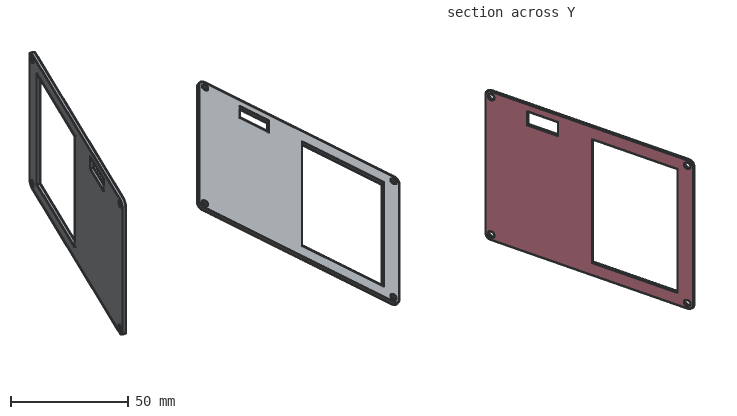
import cadquery as cq

plate_width = 103.0
plate_height = 78.5
plate_thickness = 1.6
corner_radius = 3.0

hole_diameter = 3.0
hole_inset = corner_radius

window_width = 42.0
window_height = 65.0
window_left = 8.0

slot_width = 15.0
slot_height = 7.0
slot_left = 67.1
slot_top_gap = 4.0


def through_box(width, height, center_x, center_z):
    """Rectangular block as deep as the plate, centred on its mid-plane."""
    return cq.Workplane("XY").box(width, plate_thickness, height).translate((center_x, 0, center_z))


plate = through_box(plate_width, plate_height, 0, 0).edges("|Y").fillet(corner_radius)

plate = (
    plate.faces("<Y")
    .workplane(centerOption="CenterOfBoundBox")
    .rect(plate_width - 2 * hole_inset, plate_height - 2 * hole_inset, forConstruction=True)
    .vertices()
    .hole(hole_diameter)
)

window_x = -plate_width / 2 + window_left + window_width / 2
window = through_box(window_width, window_height, window_x, 0)

slot_x = -plate_width / 2 + slot_left + slot_width / 2
slot_z = plate_height / 2 - slot_top_gap - slot_height / 2
slot = through_box(slot_width, slot_height, slot_x, slot_z)

result = plate.cut(window).cut(slot)